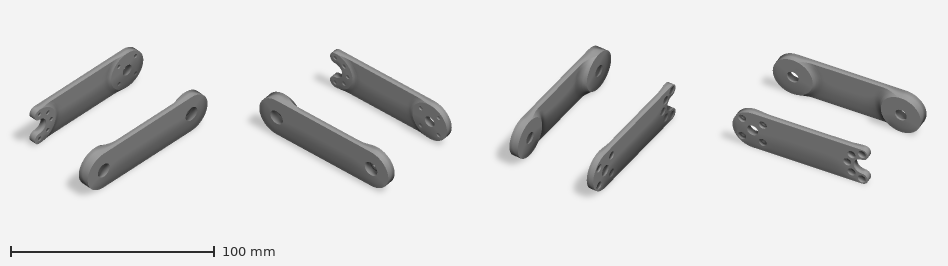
import cadquery as cq
import math

OVERALL_WIDTH = 49.0
PIVOT_SPACING = 60.0
END_RADIUS = 11.0
ARM_LENGTH = PIVOT_SPACING + 2 * END_RADIUS
REAR_PIVOT_Y = PIVOT_SPACING / 2
FRONT_PIVOT_Y = -PIVOT_SPACING / 2

WEB_THICKNESS = 3.0
HORN_ARM_END_THICKNESS = 3.75
IDLER_REAR_THICKNESS = 4.9
IDLER_FRONT_THICKNESS = 6.25
FLARE_RADIUS = 5.0

HORN_PIVOT_DIAMETER = 6.1
IDLER_PIVOT_DIAMETER = 6.5
IDLER_BORE_DIAMETER = 8.0
IDLER_LIP_THICKNESS = 1.0

SCREW_CIRCLE_RADIUS = 8.0
SCREW_DIAMETER = 2.4
SCREW_HEAD_DIAMETER = 4.4
REAR_HEAD_DEPTH = 1.4
FRONT_HEAD_DEPTH = 3.0
REAR_SCREW_ANGLES = (45, 135, 225, 315)
FRONT_SCREW_ANGLES = (0, 45, 90, 135, 180)

NOTCH_RADIUS = 4.5
LUG_RADIUS = (END_RADIUS - NOTCH_RADIUS) / 2
LUG_OFFSET = NOTCH_RADIUS + LUG_RADIUS


def cylinder(y, z, radius, length):
    """Cylinder along +X that starts on the outer face of an arm, at X = 0."""
    return cq.Workplane("YZ").center(y, z).circle(radius).extrude(length)


def stadium(thickness):
    """Round-ended plate with its outer face at X = 0."""
    return cq.Workplane("YZ").slot2D(ARM_LENGTH, 2 * END_RADIUS).extrude(thickness)


def flared_boss(pivot_y, thickness):
    """Round boss whose side flares into the web along an arc tangent to it."""
    height = thickness - WEB_THICKNESS
    arc_reach = math.sqrt(FLARE_RADIUS**2 - (FLARE_RADIUS - height) ** 2)
    half_angle = math.acos((FLARE_RADIUS - height) / FLARE_RADIUS) / 2
    arc_middle = (
        WEB_THICKNESS + FLARE_RADIUS * (1 - math.cos(half_angle)),
        END_RADIUS + arc_reach - FLARE_RADIUS * math.sin(half_angle),
    )
    return (
        cq.Workplane("XY")
        .lineTo(thickness, 0)
        .lineTo(thickness, END_RADIUS)
        .threePointArc(arc_middle, (WEB_THICKNESS, END_RADIUS + arc_reach))
        .lineTo(0, END_RADIUS + arc_reach)
        .close()
        .revolve(360, (0, 0, 0), (1, 0, 0))
        .translate((0, pivot_y, 0))
    )


def arm_blank(rear_thickness, front_thickness):
    """Thin web with a thicker boss at each end, trimmed to the round-ended outline."""
    rear_boss = flared_boss(REAR_PIVOT_Y, rear_thickness)
    front_boss = flared_boss(FRONT_PIVOT_Y, front_thickness)
    outline = stadium(max(rear_thickness, front_thickness))
    return stadium(WEB_THICKNESS).union(rear_boss.union(front_boss).intersect(outline))


def screw_holes(pivot_y, angles, head_depth):
    """Counterbored screw holes around a pivot; angles run from +Z towards +Y."""
    holes = cq.Workplane("YZ")
    for angle in angles:
        y = pivot_y + SCREW_CIRCLE_RADIUS * math.sin(math.radians(angle))
        z = SCREW_CIRCLE_RADIUS * math.cos(math.radians(angle))
        shank = cylinder(y, z, SCREW_DIAMETER / 2, HORN_ARM_END_THICKNESS)
        head = cylinder(y, z, SCREW_HEAD_DIAMETER / 2, head_depth)
        holes = holes.add(shank.union(head))
    return holes.combine()


def open_front_end():
    """Material removed ahead of the front pivot, leaving the two lugs."""
    thickness = HORN_ARM_END_THICKNESS
    removed = (
        cq.Workplane("YZ")
        .center(FRONT_PIVOT_Y - END_RADIUS / 2, 0)
        .rect(END_RADIUS, 2 * END_RADIUS)
        .extrude(thickness)
    )
    for side in (-1, 1):
        removed = removed.cut(cylinder(FRONT_PIVOT_Y, side * LUG_OFFSET, LUG_RADIUS, thickness))
    return removed.union(cylinder(FRONT_PIVOT_Y, 0, NOTCH_RADIUS, thickness))


def make_horn_arm():
    """Arm on the -X side, screwed on at both ends."""
    return (
        arm_blank(HORN_ARM_END_THICKNESS, HORN_ARM_END_THICKNESS)
        .cut(open_front_end())
        .cut(cylinder(REAR_PIVOT_Y, 0, HORN_PIVOT_DIAMETER / 2, HORN_ARM_END_THICKNESS))
        .cut(screw_holes(REAR_PIVOT_Y, REAR_SCREW_ANGLES, REAR_HEAD_DEPTH))
        .cut(screw_holes(FRONT_PIVOT_Y, FRONT_SCREW_ANGLES, FRONT_HEAD_DEPTH))
        .translate((-OVERALL_WIDTH / 2, 0, 0))
    )


def make_idler_arm():
    """Arm on the +X side, with a stepped pivot hole at each end and its bosses facing -X."""
    arm = arm_blank(IDLER_REAR_THICKNESS, IDLER_FRONT_THICKNESS)
    ends = ((REAR_PIVOT_Y, IDLER_REAR_THICKNESS), (FRONT_PIVOT_Y, IDLER_FRONT_THICKNESS))
    for pivot_y, thickness in ends:
        arm = arm.cut(cylinder(pivot_y, 0, IDLER_PIVOT_DIAMETER / 2, thickness))
        arm = arm.cut(cylinder(pivot_y, 0, IDLER_BORE_DIAMETER / 2, thickness - IDLER_LIP_THICKNESS))
    return arm.mirror("YZ").translate((OVERALL_WIDTH / 2, 0, 0))


horn_arm = make_horn_arm()
idler_arm = make_idler_arm()

result = cq.Compound.makeCompound([horn_arm.val(), idler_arm.val()])